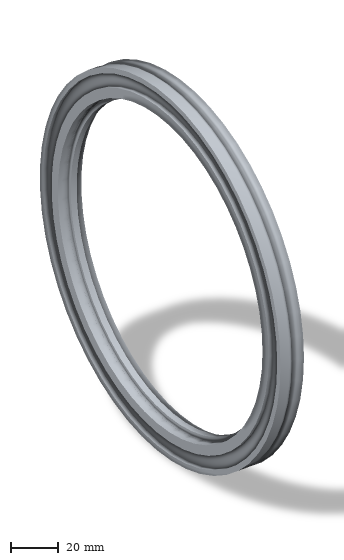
import cadquery as cq
import math

outer_diameter = 180.0
width = 11.9
front_y = -width / 2
back_y = width / 2

recess_outer_diameter = 175.0
land_outer_diameter = 162.3
recess_depth = 2.0

bore_diameter = 149.1
counterbore_diameter = 153.0
lip_thickness = 3.0
front_counterbore_depth = 5.2
back_counterbore_depth = width - front_counterbore_depth - lip_thickness

seat_diameter = 152.9
seat_height = 1.2

groove_center_y = 1.45
groove_floor_radius = 1.3
groove_lip_radius = 1.7
groove_arc_angle = math.radians(60)


def disc(diameter, start_y, length):
    """Solid disc about the Y axis, reaching from start_y towards the back."""
    return cq.Workplane("XZ", origin=(0, start_y, 0)).circle(diameter / 2).extrude(-length)


def ring_body():
    """Plain ring with the through bore."""
    return disc(outer_diameter, front_y, width).cut(disc(bore_diameter, front_y, width))


def front_recess():
    """Annular recess around the land on the front face."""
    floor_disc = disc(recess_outer_diameter, front_y, recess_depth)
    return floor_disc.cut(disc(land_outer_diameter, front_y, recess_depth))


def front_counterbore():
    """Front counterbore with its slightly tighter seat against the lip."""
    entry = disc(counterbore_diameter, front_y, front_counterbore_depth - seat_height)
    return entry.union(disc(seat_diameter, front_y, front_counterbore_depth))


def back_counterbore():
    """Counterbore behind the lip."""
    return disc(counterbore_diameter, back_y - back_counterbore_depth, back_counterbore_depth)


def rim_groove():
    """Groove cutter whose floor arc and lip arcs meet tangentially."""
    lip_center_radius = outer_diameter / 2 - groove_lip_radius
    center_distance = groove_floor_radius + groove_lip_radius
    lip_center_offset = center_distance * math.sin(groove_arc_angle)
    floor_center_radius = lip_center_radius + center_distance * math.cos(groove_arc_angle)

    def floor_point(angle):
        return (
            floor_center_radius - groove_floor_radius * math.cos(angle),
            groove_center_y + groove_floor_radius * math.sin(angle),
        )

    def lip_point(angle, side):
        offset = lip_center_offset - groove_lip_radius * math.sin(angle)
        return (
            lip_center_radius + groove_lip_radius * math.cos(angle),
            groove_center_y + side * offset,
        )

    profile = (
        cq.Workplane("XY")
        .moveTo(*lip_point(0, -1))
        .threePointArc(lip_point(groove_arc_angle / 2, -1), floor_point(-groove_arc_angle))
        .threePointArc(floor_point(0), floor_point(groove_arc_angle))
        .threePointArc(lip_point(groove_arc_angle / 2, 1), lip_point(0, 1))
        .close()
    )
    return profile.revolve(360, (0, 0, 0), (0, 1, 0))


result = (
    ring_body()
    .cut(front_recess())
    .cut(front_counterbore())
    .cut(back_counterbore())
    .cut(rim_groove())
)